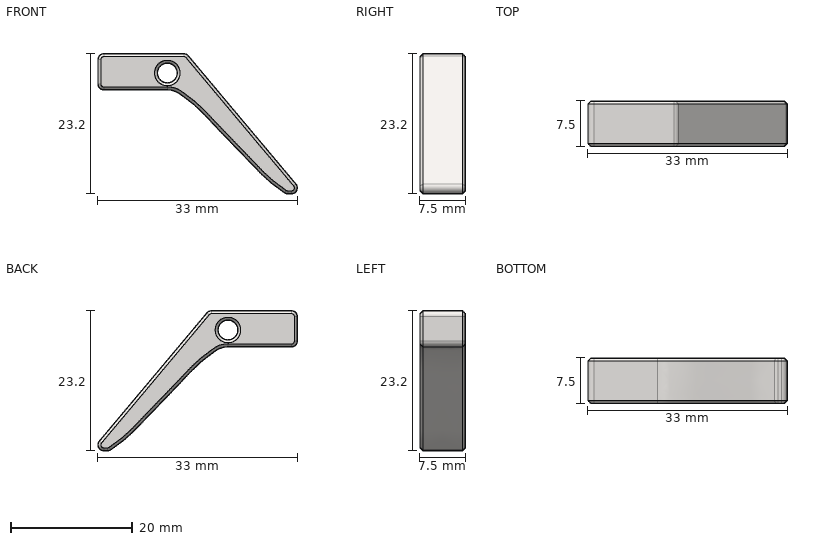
import cadquery as cq
import math

length = 32.95
width = 7.5
height = 23.15

block_height = 6.0
corner_radius = 1.0
edge_chamfer = 0.5
arm_angle = math.radians(50)

hole_x = 11.47
hole_z = -3.2
hole_radius = 1.6

underside_points = [(13.5, -6.62), (15.88, -8.45), (19.85, -12.45), (25.4, -18.22), (28.57, -21.32)]
underside_end_angle = math.radians(36)
tip_flat_start = 31.37


def on_arc(center, angle):
    """Point on a corner arc, with the angle measured from +X."""
    return (
        center[0] + corner_radius * math.cos(angle),
        center[1] + corner_radius * math.sin(angle),
    )


def make_profile():
    """Side outline in the XZ plane, with its upper left corner at the origin."""
    up = math.pi / 2
    down = -up
    slope_normal = up - arm_angle
    tip_center = (length - corner_radius, corner_radius - height)
    heel_center = (tip_flat_start, tip_center[1])
    heel_start_angle = down - underside_end_angle

    bend_z = -corner_radius
    bend_x = tip_center[0] - (bend_z - tip_center[1]) / math.tan(arm_angle)
    bend_center = (bend_x, bend_z)

    underside_start = (hole_x, -block_height)
    underside_end = on_arc(heel_center, heel_start_angle)
    end_direction = (math.cos(underside_end_angle), -math.sin(underside_end_angle))

    outline = (
        cq.Workplane("XZ", origin=(0, width / 2, 0))
        .moveTo(corner_radius, 0)
        .lineTo(*on_arc(bend_center, up))
        .threePointArc(on_arc(bend_center, up - arm_angle / 2), on_arc(bend_center, slope_normal))
        .lineTo(*on_arc(tip_center, slope_normal))
        .threePointArc(on_arc(tip_center, (slope_normal + down) / 2), on_arc(tip_center, down))
        .lineTo(*on_arc(heel_center, down))
        .threePointArc(on_arc(heel_center, down - underside_end_angle / 2), underside_end)
    )
    outline = outline.spline(
        underside_points[::-1] + [underside_start],
        tangents=[(-end_direction[0], -end_direction[1]), (-1, 0)],
        includeCurrent=True,
    )
    left_lower = (corner_radius, corner_radius - block_height)
    left_upper = (corner_radius, -corner_radius)
    return (
        outline.lineTo(*on_arc(left_lower, down))
        .threePointArc(on_arc(left_lower, -3 * math.pi / 4), on_arc(left_lower, math.pi))
        .lineTo(*on_arc(left_upper, math.pi))
        .threePointArc(on_arc(left_upper, 3 * math.pi / 4), on_arc(left_upper, up))
        .close()
    )


def make_hole():
    """Cutter for the through hole."""
    return (
        cq.Workplane("XZ", origin=(0, width / 2, 0))
        .center(hole_x, hole_z)
        .circle(hole_radius)
        .extrude(width)
    )


lever = make_profile().extrude(width).cut(make_hole())
result = lever.faces("<Y or >Y").edges().chamfer(edge_chamfer)